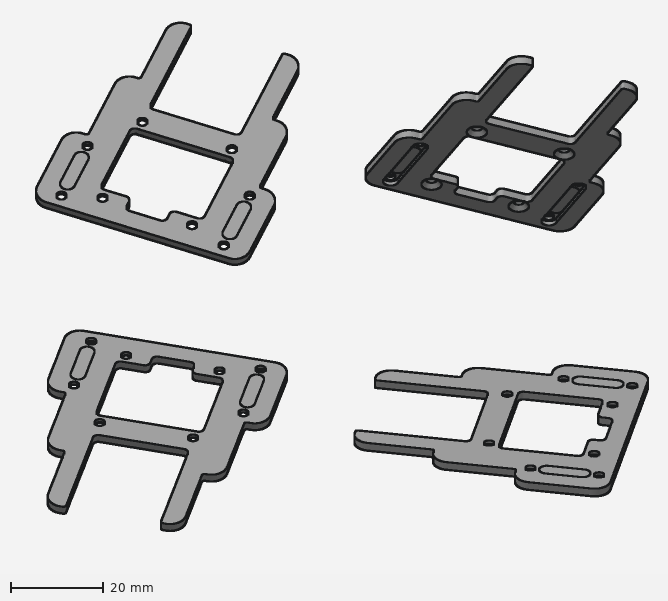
import cadquery as cq

thickness = 2.0
length = 58.25
base_half_width = 24.8
base_length = 21.05
middle_half_width = 20.0
middle_length = 40.0
arm_half_width = 15.4
arm_gap_half_width = 10.6
arm_root_y = 33.05

outer_radius = 3.5
shoulder_radius = 0.6
arm_tip_radius = 0.6
opening_radius = 1.15

window_half_width = 12.0
window_front_y = 8.0
window_back_y = 26.6
notch_half_width = 4.7
notch_front_y = 4.4

hole_diameter = 2.2
inner_hole_x = 10.4
inner_hole_front_y = 5.7
inner_hole_back_y = 28.9
outer_hole_x = 18.95
outer_hole_spacing = 15.15
outer_hole_center_y = 10.55

countersink_depth = 1.1
countersink_diameter = hole_diameter + 2 * countersink_depth
recess_depth = 1.1
recess_slot_width = 3.25

insert_width = 3.25
insert_length = 11.25


def mirrored_prism(right_half):
    """Extrude the outline made of the given points and their mirror images in X."""
    left_half = [(-x, y) for x, y in reversed(right_half)]
    return cq.Workplane("XY").polyline(right_half + left_half).close().extrude(thickness)


def round_corners(body, corners, radius):
    """Round the upright edges at the given points and at their mirror images in X."""
    for x, y in corners:
        for side in (-1, 1):
            edge = cq.selectors.NearestToPointSelector((side * x, y, thickness / 2))
            body = body.edges("|Z").edges(edge).fillet(radius)
    return body


def make_blank():
    """Stepped plate with two arms at the back."""
    front_corner = (base_half_width, 0)
    base_corner = (base_half_width, base_length)
    base_shoulder = (middle_half_width, base_length)
    middle_corner = (middle_half_width, middle_length)
    middle_shoulder = (arm_half_width, middle_length)
    arm_outer_tip = (arm_half_width, length)
    arm_inner_tip = (arm_gap_half_width, length)
    arm_root = (arm_gap_half_width, arm_root_y)

    blank = mirrored_prism([
        front_corner, base_corner, base_shoulder, middle_corner,
        middle_shoulder, arm_outer_tip, arm_inner_tip, arm_root,
    ])
    blank = round_corners(blank, [front_corner, base_corner, middle_corner, arm_outer_tip], outer_radius)
    blank = round_corners(blank, [base_shoulder, middle_shoulder], shoulder_radius)
    blank = round_corners(blank, [arm_inner_tip], arm_tip_radius)
    return round_corners(blank, [arm_root], opening_radius)


def make_window():
    """Cutter for the window and its notch."""
    corners = [
        (notch_half_width, notch_front_y),
        (notch_half_width, window_front_y),
        (window_half_width, window_front_y),
        (window_half_width, window_back_y),
    ]
    return round_corners(mirrored_prism(corners), corners, opening_radius)


def make_inner_hole(x, y):
    """Cutter for one inner hole, countersunk from the underside."""
    hole_radius = hole_diameter / 2
    hole = cq.Workplane("XY").circle(hole_radius).extrude(thickness)
    countersink = cq.Solid.makeCone(countersink_diameter / 2, hole_radius, countersink_depth)
    return hole.union(cq.Workplane(countersink)).translate((x, y, 0))


def make_outer_holes(side):
    """Cutter for a pair of outer holes and the recess slot that joins them."""
    center = cq.Workplane("XY").center(side * outer_hole_x, outer_hole_center_y)
    half_spacing = outer_hole_spacing / 2
    holes = center.pushPoints([(0, -half_spacing), (0, half_spacing)])
    holes = holes.circle(hole_diameter / 2).extrude(thickness)
    slot_length = outer_hole_spacing + recess_slot_width
    slot = center.slot2D(slot_length, recess_slot_width, 90).extrude(recess_depth)
    return holes.union(slot)


def make_insert(side):
    """Round-ended insert from the top of the recess slot to the top face of the plate."""
    return (
        cq.Workplane("XY", origin=(0, 0, recess_depth))
        .center(side * outer_hole_x, outer_hole_center_y)
        .slot2D(insert_length, insert_width, 90)
        .extrude(thickness - recess_depth)
    )


sides = (-1, 1)
inserts = [make_insert(side) for side in sides]

plate = make_blank().cut(make_window())
for side in sides:
    plate = plate.cut(make_outer_holes(side))
    for y in (inner_hole_front_y, inner_hole_back_y):
        plate = plate.cut(make_inner_hole(side * inner_hole_x, y))
for insert in inserts:
    plate = plate.cut(insert)

result = cq.Compound.makeCompound([plate.val(), *[insert.val() for insert in inserts]])